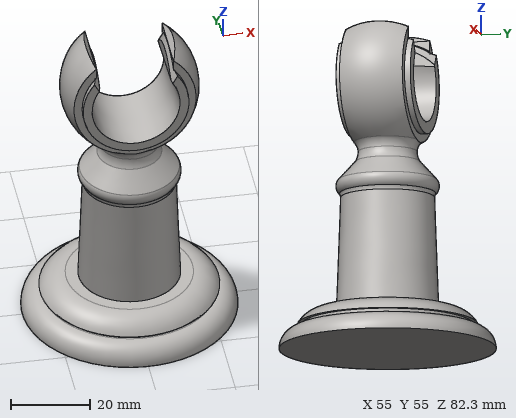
import cadquery as cq
import math

foot_radius = 27.5
foot_height = 5.2
groove_radius = 21.8
lip_radius = 22.9
lip_height = 6.2
rosette_height = 10.0
rosette_flat_radius = 16.2

column_bottom_radius = 13.0
column_top_radius = 11.9
column_top = 38.9

bead_foot_radius = 12.2
bead_foot_height = 39.9
bead_radius = 13.1
bead_height = 41.75
cone_bottom_radius = 12.7
cone_bottom = 43.2
cone_top_radius = 8.2
cone_top = 48.1
neck_radius = 7.5
neck_height = 50.7
flare_height = 53.9

ball_radius = 17.7
ball_center = 68.7
ball_width = 16.5
mouth_width = 19.8
total_height = 82.35
mouth_angle = math.degrees(math.asin((total_height - ball_center) / ball_radius))

liner_width = 19.5
liner_radius = 13.6
liner_crown_radius = 15.3
bore_front_radius = 11.3
bore_back_radius = 10.5
liner_mouth_width = 18.3
tip_angle = 61.0
tip_arc_radius = 23.3
tip_offset = 3.1

tool_size = 82.35


def tangent_arc_point(start_point, end_point):
    """Point on the arc that leaves start_point vertically, halfway up to end_point."""
    dr = end_point[0] - start_point[0]
    dz = end_point[1] - start_point[1]
    radius = (dr**2 + dz**2) / (2 * dr)
    mid_dz = dz / 2
    return start_point[0] + radius - math.sqrt(radius**2 - mid_dz**2), start_point[1] + mid_dz


def revolve_about_z(profile):
    return profile.close().revolve(360, (0, 0, 0), (0, 1, 0))


def revolve_about_cradle(profile):
    """Revolve a profile of (radius, Y) points about the Y axis and lift it to the ball center."""
    return profile.close().revolve(360, (0, 0, 0), (0, 1, 0)).translate((0, 0, ball_center))


def make_rosette():
    dome_drop = rosette_height - lip_height
    dome_reach = lip_radius - rosette_flat_radius
    dome_radius = (dome_reach**2 + dome_drop**2) / (2 * dome_drop)
    mid_reach = dome_reach / 2
    mid_drop = dome_radius - math.sqrt(dome_radius**2 - mid_reach**2)
    round_shift = foot_height * math.sqrt(0.5)
    foot_top_radius = foot_radius - foot_height
    return revolve_about_z(
        cq.Workplane("XZ")
        .lineTo(foot_radius, 0)
        .threePointArc((foot_top_radius + round_shift, round_shift), (foot_top_radius, foot_height))
        .lineTo(groove_radius, foot_height)
        .lineTo(groove_radius, lip_height)
        .lineTo(lip_radius, lip_height)
        .threePointArc(
            (rosette_flat_radius + mid_reach, rosette_height - mid_drop),
            (rosette_flat_radius, rosette_height),
        )
        .lineTo(0, rosette_height)
    )


def make_column():
    return revolve_about_z(
        cq.Workplane("XZ")
        .moveTo(0, rosette_height)
        .lineTo(column_bottom_radius, rosette_height)
        .lineTo(column_top_radius, column_top)
        .lineTo(0, column_top)
    )


def make_collar():
    flare_radius = math.sqrt(ball_radius**2 - (ball_center - flare_height)**2)
    collar_foot = (column_top_radius, column_top)
    bead_foot = (bead_foot_radius, bead_foot_height)
    neck = (neck_radius, neck_height)
    cone_end = (cone_top_radius, cone_top)
    flare_end = (flare_radius, flare_height)
    return revolve_about_z(
        cq.Workplane("XZ")
        .moveTo(0, column_top)
        .lineTo(*collar_foot)
        .threePointArc(tangent_arc_point(collar_foot, bead_foot), bead_foot)
        .threePointArc((bead_radius, bead_height), (cone_bottom_radius, cone_bottom))
        .lineTo(*cone_end)
        .threePointArc(tangent_arc_point(neck, cone_end), neck)
        .threePointArc(tangent_arc_point(neck, flare_end), flare_end)
        .lineTo(0, ball_center)
    )


def make_liner_envelope():
    """Solid barrel that fills the cradle."""
    half_liner = liner_width / 2
    half_ball = ball_width / 2
    return revolve_about_cradle(
        cq.Workplane("XY")
        .moveTo(0, -half_liner)
        .lineTo(liner_radius, -half_liner)
        .lineTo(liner_radius, -half_ball)
        .threePointArc((liner_crown_radius, 0), (liner_radius, half_ball))
        .lineTo(liner_radius, half_liner)
        .lineTo(0, half_liner)
    )


def make_slot(width):
    """Straight-sided opening from the cradle axis upwards."""
    return (
        cq.Workplane("XY")
        .box(width, tool_size, tool_size, centered=(True, True, False))
        .translate((0, 0, ball_center))
    )


def make_mouth_wedge():
    """Opening whose sides lie radially to the cradle axis."""
    half_top = tool_size / math.tan(math.radians(mouth_angle))
    return (
        cq.Workplane("XZ")
        .polyline([(0, 0), (half_top, tool_size), (-half_top, tool_size)])
        .close()
        .extrude(tool_size / 2, both=True)
        .translate((0, 0, ball_center))
    )


def make_holder():
    ball = cq.Workplane("XY").sphere(ball_radius).translate((0, 0, ball_center))
    ball = ball.cut(make_mouth_wedge()).cut(make_slot(mouth_width))
    side_trim = cq.Workplane("XY").box(tool_size, ball_width, tool_size, centered=(True, True, False))
    side_trim = side_trim.translate((0, 0, neck_height))
    lower_collar = cq.Workplane("XY").box(tool_size, tool_size, neck_height, centered=(True, True, False))
    head = make_collar().union(ball).intersect(side_trim.union(lower_collar))
    return head.cut(make_liner_envelope())


def make_tip_cutter():
    """Remove everything beyond the arched end of the liner's +X arm."""
    angle = math.radians(tip_angle)
    direction = cq.Vector(math.cos(angle), 0, math.sin(angle))
    side = cq.Vector(math.sin(angle), 0, -math.cos(angle))
    axis_point = side * (tip_offset + tip_arc_radius) - direction * tool_size
    keeper = cq.Solid.makeCylinder(tip_arc_radius, 2 * tool_size, axis_point, direction)
    quadrant = cq.Workplane("XY").box(tool_size, tool_size, tool_size, centered=(False, True, False))
    return quadrant.cut(cq.Workplane(obj=keeper)).translate((0, 0, ball_center))


def make_liner():
    half_liner = liner_width / 2
    bore = revolve_about_cradle(
        cq.Workplane("XY")
        .moveTo(0, -half_liner)
        .lineTo(bore_front_radius, -half_liner)
        .lineTo(bore_back_radius, half_liner)
        .lineTo(0, half_liner)
    )
    tip_cutter = make_tip_cutter()
    liner = make_liner_envelope().cut(bore).cut(make_slot(liner_mouth_width))
    return liner.cut(tip_cutter).cut(tip_cutter.mirror("YZ"))


rosette = make_rosette()
column = make_column()
holder = make_holder()
liner = make_liner()

result = cq.Compound.makeCompound([rosette.val(), column.val(), *holder.vals(), *liner.vals()])